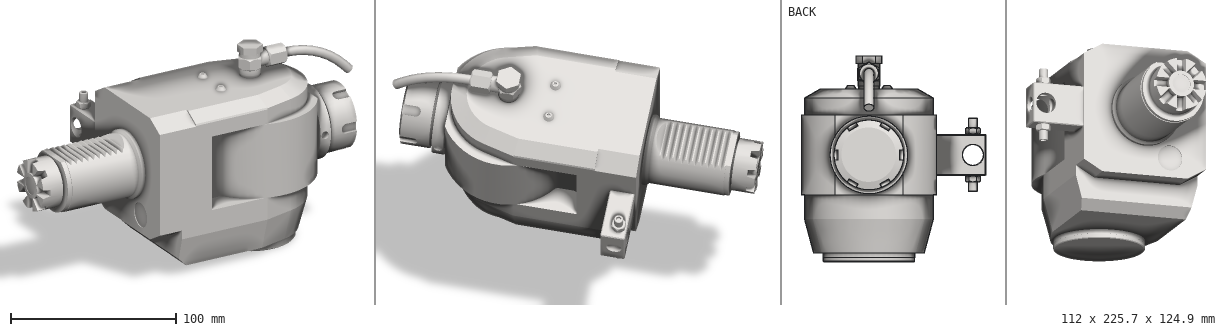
import cadquery as cq
import math


half_width = 39.0
half_height = 40.0
front_length = 25.5
front_chamfer_width = 11.7
back_chamfer_width = 9.6
chamfer_angle = 30.0
edge_relief = 0.8
chamfer_slope = math.tan(math.radians(chamfer_angle))
back_side_z = half_height - back_chamfer_width * chamfer_slope
head_y = 86.0
head_radius = 35.0
flank_angle = 15.0
flank = math.radians(flank_angle)
flank_end_x = head_radius * math.cos(flank)
flank_end_y = head_y + head_radius * math.sin(flank)
flank_start_y = flank_end_y - (half_width - flank_end_x) / math.tan(flank)
skirt_top = -39.0
housing_bottom = -59.5
skirt_front_y = 15.6
skirt_front_chamfer = 6.1
plug_recess_radius = 7.8
plug_recess_depth = 0.5
plug_x = 16.0
plug_z = -28.0

drum_radius = 41.0
drum_half_height = 24.25
drum_back_y = 121.4
pocket_floor_x = 23.25
pocket_front_y = 36.7
pocket_front_radius = 5.5
pocket_back_radius = 3.0

cover_radius = 27.9
cover_lower_radius = 27.8
cover_step_z = -62.2
cover_bottom = -64.9
cover_edge = 0.5

collar_radius = 23.5
collar_start_y = 122.0
collar_end_y = 129.2
collar_hole_radius = 2.5
collar_hole_y = 125.1
collar_hole_depth = 4.0
spindle_neck_radius = 19.5
nut_start_y = 131.1
nut_radius = 21.1
nut_end_y = 150.4
nut_chamfer_length = 1.5
nut_face_radius = 16.5
nut_slot_count = 6
nut_slot_width = 6.2
nut_slot_length = 12.2
nut_slot_depth = 2.5

shank_radius = 20.0
flange_radius = 21.6
flange_length = 2.4
flange_cone_end_y = -4.1
shank_step_y = -50.1
shank_tip_radius = 19.6
shank_end_y = -53.1
teeth_tip_z = 16.2
tooth_depth = 1.9
valley_half_width = 1.6
tooth_pitch = 4.0
valley_count = 10
ramp_end_y = -9.3
first_valley_y = -11.5

rear_neck_radius = 13.0
rear_nut_start_y = -54.3
rear_nut_radius = 16.0
rear_nut_end_y = -68.15
rear_slot_count = 8
rear_slot_depth = 4.9
rear_slot_mouth = 5.8
rear_slot_floor = 4.0
rear_core_radius = 8.0
rear_recess_radius = 5.7
rear_recess_depth = 0.4

bracket_left_x = -71.0
bracket_front_y = 1.0
bracket_back_y = 16.0
bracket_half_height = 12.5
bracket_edge = 0.6
bracket_hole_radius = 6.3
bracket_bolt_x = -63.0
bracket_hole_y = 7.5
side_hole_radius = 4.7
side_hole_depth = 19.0
side_drill_radius = 2.0
side_drill_depth = 26.0
bolt_y = 6.1
bolt_radius = 2.7
bolt_bore_radius = 2.5
bolt_bore_end_z = 9.0
bolt_end_z = 22.3
bolt_edge = 0.3
bolt_nut_flats = 8.0
bolt_nut_height = 4.0
bolt_socket_flats = 3.0
bolt_socket_depth = 2.0

fitting_base_radius = 6.3
fitting_base_top = 41.7
fitting_body_radius = 6.6
fitting_hex_bottom = 44.8
fitting_hex_top = 52.7
fitting_neck_top = 55.3
fitting_top = 60.0
fitting_flats = 13.6
branch_z = 49.4
branch_radius = 4.9
branch_nut_start_y = 96.6
branch_nut_end_y = 109.2
branch_nut_flats = 12.0
tube_radius = 3.0
tube_bend_y = 110.8
tube_bend_radius = 57.5
tube_bend_angle = 45.0
tube_end_length = 5.57

screw_x = 11.0
screw_y = 59.2
screw_base_radius = 3.3
screw_top_radius = 1.9
screw_height = 2.1
screw_socket_flats = 2.0
screw_socket_depth = 1.2

hex_corner_chamfer = 1.3
drill_tip_angle = 30.0
overlap = 1.0


def along_y(start_y, end_y, radius, x=0.0, z=0.0):
    """Cylinder parallel to Y."""
    direction = cq.Vector(0, math.copysign(1, end_y - start_y), 0)
    start = cq.Vector(x, start_y, z)
    return cq.Workplane(cq.Solid.makeCylinder(radius, abs(end_y - start_y), start, direction))


def along_z(start_z, end_z, radius, x, y):
    """Cylinder parallel to Z."""
    return cq.Workplane("XY", origin=(x, y, start_z)).circle(radius).extrude(end_z - start_z)


def revolved_about_y(profile):
    """Solid of revolution about the main axis from (radius, y) points."""
    return cq.Workplane("XY").polyline(profile).close().revolve(360, (0, 0, 0), (0, 1, 0))


def drilled_hole(start, direction, radius, depth, tip_radius=0.0):
    """Cutter for a drilled hole with a conical end."""
    bottom = start + direction * depth
    cone_length = (radius - tip_radius) * math.tan(math.radians(drill_tip_angle))
    bore = cq.Workplane(cq.Solid.makeCylinder(radius, depth, start, direction))
    return bore.union(cq.Workplane(cq.Solid.makeCone(radius, tip_radius, cone_length, bottom, direction)))


def hexagon(flats):
    """Corner points of a hexagon with two corners on its first axis."""
    corner = flats / math.sqrt(3)
    angles = [math.tau / 6 * i for i in range(6)]
    return [(corner * math.cos(a), corner * math.sin(a)) for a in angles]


def hex_prism(plane, flats, height, turn=0.0):
    """Hexagonal prism grown along the plane's normal."""
    return plane.transformed(rotate=(0, 0, turn)).polyline(hexagon(flats)).close().extrude(height)


def rounded_hex(plane, flats, height, turn=0.0):
    """Hexagonal prism whose corners are turned down at both ends."""
    corner = flats / math.sqrt(3)
    turned = plane.circle(corner).extrude(height).edges().chamfer(hex_corner_chamfer * (corner - flats / 2))
    return hex_prism(plane, flats, height, turn).intersect(turned)


def housing_outline(z):
    """Plan of the housing: straight sides, tapering flanks and a round back."""
    return (
        cq.Workplane("XY", origin=(0, 0, z))
        .moveTo(half_width, 0)
        .lineTo(half_width, flank_start_y)
        .lineTo(flank_end_x, flank_end_y)
        .threePointArc((0, head_y + head_radius), (-flank_end_x, flank_end_y))
        .lineTo(-half_width, flank_start_y)
        .lineTo(-half_width, 0)
        .close()
    )


def box_between(low, high):
    """Box spanning two opposite corners."""
    size = [b - a for a, b in zip(low, high)]
    return cq.Workplane("XY").box(*size, centered=False).translate(low)


def front_block():
    """Octagonal block behind the mounting face."""
    drop = front_chamfer_width * chamfer_slope
    flat_x = half_width - front_chamfer_width
    side_z = half_height - drop
    quarter = [(flat_x, half_height), (half_width, side_z)]
    right = quarter + [(x, -z) for x, z in reversed(quarter)]
    left = [(-x, z) for x, z in reversed(right)]
    return cq.Workplane("XZ").polyline(right + left).close().extrude(-front_length)


def upper_body():
    """Rear body with its roof edge chamfered all round and a small relief on the straight edges."""
    body = housing_outline(skirt_top).extrude(back_side_z - skirt_top)
    body = body.union(housing_outline(back_side_z).extrude(half_height - back_side_z, taper=90 - chamfer_angle))
    rear_low = (-half_width, front_length, skirt_top)
    body = body.intersect(box_between(rear_low, (half_width, drum_back_y, half_height)))
    lower_front = (-half_width, skirt_front_y, skirt_top)
    return body.union(box_between(lower_front, (half_width, front_length, 0)))


def edge_reliefs():
    """Steep bevels along the straight roof edges."""
    inner_x = half_width - edge_relief
    outer_x = half_width + overlap
    low_z = back_side_z - edge_relief
    high_z = back_side_z + overlap
    profile = [(inner_x, high_z), (outer_x, high_z), (outer_x, low_z), (half_width, low_z)]
    right = (
        cq.Workplane("XZ", origin=(0, front_length, 0))
        .polyline(profile)
        .close()
        .extrude(front_length - flank_start_y)
    )
    return right.union(right.mirror("YZ"))


def skirt():
    """Tapered lower body, set back from the mounting face and bevelled at its lower front edge."""
    depth = skirt_top - housing_bottom
    tapered = housing_outline(skirt_top).extrude(-depth, taper=flank_angle)
    side = [
        (skirt_front_y, skirt_top),
        (skirt_front_y, housing_bottom + skirt_front_chamfer),
        (skirt_front_y + skirt_front_chamfer, housing_bottom),
        (drum_back_y, housing_bottom),
        (drum_back_y, skirt_top),
    ]
    return tapered.intersect(cq.Workplane("YZ").polyline(side).close().extrude(half_width, both=True))


def side_pocket():
    """Right-hand pocket that runs into the round of the drum."""
    back_x = pocket_floor_x + pocket_back_radius
    reach = drum_radius + pocket_back_radius
    back_y = head_y - math.sqrt(reach**2 - back_x**2)
    share = drum_radius / reach
    touch = (back_x * share, head_y + (back_y - head_y) * share)
    touch_angle = math.atan2(head_y - back_y, back_x)
    front_x = pocket_floor_x + pocket_front_radius
    front_y = pocket_front_y + pocket_front_radius
    outside_x = drum_radius + overlap
    diagonal = math.sqrt(0.5)
    mid_fillet = math.pi - touch_angle / 2
    return (
        cq.Workplane("XY", origin=(0, 0, -drum_half_height))
        .moveTo(outside_x, pocket_front_y)
        .lineTo(front_x, pocket_front_y)
        .threePointArc(
            (front_x - pocket_front_radius * diagonal, front_y - pocket_front_radius * diagonal),
            (pocket_floor_x, front_y),
        )
        .lineTo(pocket_floor_x, back_y)
        .threePointArc(
            (
                back_x + pocket_back_radius * math.cos(mid_fillet),
                back_y + pocket_back_radius * math.sin(mid_fillet),
            ),
            touch,
        )
        .lineTo(touch[0], head_y)
        .lineTo(outside_x, head_y)
        .close()
        .extrude(2 * drum_half_height)
    )


def housing():
    """Complete housing with drum, pockets and bottom cover."""
    body = front_block().union(upper_body().cut(edge_reliefs())).union(skirt())
    pocket = side_pocket()
    body = body.cut(pocket).cut(pocket.mirror("YZ"))
    drum = along_z(-drum_half_height, drum_half_height, drum_radius, 0, head_y)
    drum_low = (-drum_radius, 0, -drum_half_height)
    drum = drum.intersect(box_between(drum_low, (drum_radius, drum_back_y, drum_half_height)))
    body = body.union(drum)
    body = body.union(along_z(housing_bottom + overlap, cover_step_z, cover_radius, 0, head_y))
    lower_cover = along_z(cover_step_z + overlap, cover_bottom, cover_lower_radius, 0, head_y)
    body = body.union(lower_cover.faces("<Z").edges().chamfer(cover_edge))
    return body.cut(along_y(0, plug_recess_depth, plug_recess_radius, plug_x, plug_z))


def spindle():
    """Spindle collar and slotted collet nut."""
    body = revolved_about_y([
        (0, drum_back_y - overlap),
        (spindle_neck_radius, drum_back_y - overlap),
        (spindle_neck_radius, collar_start_y),
        (collar_radius, collar_start_y),
        (collar_radius, collar_end_y),
        (spindle_neck_radius, collar_end_y),
        (spindle_neck_radius, nut_start_y),
        (nut_radius, nut_start_y),
        (nut_radius, nut_end_y - nut_chamfer_length),
        (nut_face_radius, nut_end_y),
        (0, nut_end_y),
    ])
    slot_end_y = nut_end_y - nut_slot_length + nut_slot_width / 2
    slot_floor = nut_radius - nut_slot_depth
    slot = (
        cq.Workplane("YZ", origin=(slot_floor, 0, 0))
        .moveTo(slot_end_y, 0)
        .circle(nut_slot_width / 2)
        .extrude(nut_slot_depth + overlap)
    )
    slot = slot.union(box_between(
        (slot_floor, slot_end_y, -nut_slot_width / 2),
        (nut_radius + overlap, nut_end_y + overlap, nut_slot_width / 2),
    ))
    for i in range(nut_slot_count):
        body = body.cut(slot.rotate((0, 0, 0), (0, 1, 0), 360 / nut_slot_count * i))
    for side in (1, -1):
        start = cq.Vector(side * collar_radius, collar_hole_y, 0)
        body = body.cut(drilled_hole(start, cq.Vector(-side, 0, 0), collar_hole_radius, collar_hole_depth))
    return body


def serration():
    """Cutter for the toothed flat on top of the shank."""
    valley_z = teeth_tip_z - tooth_depth
    above = shank_radius + overlap
    points = [(ramp_end_y + above - teeth_tip_z, above), (ramp_end_y, teeth_tip_z)]
    for i in range(valley_count):
        valley_y = first_valley_y - i * tooth_pitch
        points.append((valley_y + valley_half_width, teeth_tip_z))
        points.append((valley_y, valley_z))
        points.append((valley_y - valley_half_width, teeth_tip_z))
    points += [(shank_end_y, teeth_tip_z), (shank_end_y, above)]
    return cq.Workplane("YZ").polyline(points).close().extrude(shank_radius, both=True)


def shank():
    """Toothed cylindrical shank."""
    body = revolved_about_y([
        (0, overlap),
        (flange_radius, overlap),
        (flange_radius, -flange_length),
        (shank_radius, flange_cone_end_y),
        (shank_radius, shank_step_y),
        (shank_tip_radius, shank_step_y),
        (shank_tip_radius, shank_end_y),
        (0, shank_end_y),
    ])
    return body.cut(serration())


def rear_nut():
    """Castellated nut around a round core at the end of the shank."""
    body = along_y(shank_end_y + overlap, rear_nut_start_y - overlap, rear_neck_radius)
    nut = along_y(rear_nut_start_y, rear_nut_end_y, rear_nut_radius)
    floor_y = rear_nut_end_y + rear_slot_depth
    slot = (
        cq.Workplane("XY", origin=(0, 0, rear_core_radius - overlap))
        .polyline([
            (-rear_slot_mouth / 2, rear_nut_end_y),
            (rear_slot_mouth / 2, rear_nut_end_y),
            (rear_slot_floor / 2, floor_y),
            (-rear_slot_floor / 2, floor_y),
        ])
        .close()
        .extrude(rear_nut_radius)
    )
    for i in range(rear_slot_count):
        nut = nut.cut(slot.rotate((0, 0, 0), (0, 1, 0), 360 / rear_slot_count * i))
    core = along_y(rear_nut_start_y, rear_nut_end_y, rear_core_radius)
    recess = along_y(rear_nut_end_y, rear_nut_end_y + rear_recess_depth, rear_recess_radius)
    return body.union(nut).union(core).cut(recess)


def bracket():
    """Side bracket with a cross-drilled hole and two clamping bolts."""
    body = box_between(
        (bracket_left_x, bracket_front_y, -bracket_half_height),
        (-half_width, bracket_back_y, bracket_half_height),
    )
    body = body.faces("<X or <Y or >Y").edges("not >X").chamfer(bracket_edge)
    body = body.union(box_between(
        (-half_width - overlap, bracket_front_y + bracket_edge, -bracket_half_height + bracket_edge),
        (-half_width + overlap, bracket_back_y - bracket_edge, bracket_half_height - bracket_edge),
    ))
    body = body.cut(along_y(bracket_front_y, bracket_back_y, bracket_hole_radius, bracket_bolt_x))
    start = cq.Vector(bracket_left_x, bracket_hole_y, 0)
    body = body.cut(drilled_hole(start, cq.Vector(1, 0, 0), side_hole_radius, side_hole_depth, side_drill_radius))
    body = body.cut(along_z(-bolt_bore_end_z, bolt_bore_end_z, bolt_bore_radius, bracket_bolt_x, bolt_y))
    entry = cq.Workplane("YZ", origin=start.toTuple())
    body = body.cut(entry.circle(side_drill_radius).extrude(side_drill_depth))
    bolt = upper_bolt()
    return body.union(bolt).union(bolt.mirror("XY"))


def upper_bolt():
    """Socket set screw with its hexagon lock nut above the bracket."""
    top = bracket_half_height
    screw = along_z(top - overlap, bolt_end_z, bolt_radius, bracket_bolt_x, bolt_y)
    screw = screw.faces(">Z").edges().chamfer(bolt_edge)
    seat = cq.Workplane("XY", origin=(bracket_bolt_x, bolt_y, top))
    end = cq.Workplane("XY", origin=(bracket_bolt_x, bolt_y, bolt_end_z))
    screw = screw.union(rounded_hex(seat, bolt_nut_flats, bolt_nut_height))
    return screw.cut(hex_prism(end, bolt_socket_flats, -bolt_socket_depth))


def coolant_fitting():
    """Banjo fitting standing on the roof."""
    body = along_z(half_height - overlap, fitting_base_top, fitting_base_radius, 0, head_y)
    body = body.union(along_z(fitting_base_top, fitting_neck_top, fitting_body_radius, 0, head_y))
    middle = cq.Workplane("XY", origin=(0, head_y, fitting_hex_bottom))
    body = body.union(rounded_hex(middle, fitting_flats, fitting_hex_top - fitting_hex_bottom, 90))
    head = cq.Workplane("XY", origin=(0, head_y, fitting_neck_top))
    body = body.union(hex_prism(head, fitting_flats, fitting_top - fitting_neck_top))
    body = body.union(along_y(head_y, branch_nut_start_y + overlap, branch_radius, 0, branch_z))
    nut_face = cq.Workplane("XZ", origin=(0, branch_nut_end_y, branch_z))
    return body.union(rounded_hex(nut_face, branch_nut_flats, branch_nut_end_y - branch_nut_start_y, 90))


def coolant_tube():
    """Tube that leaves the fitting level and bends down past the spindle."""
    bend = math.radians(tube_bend_angle)
    centre_z = branch_z - tube_bend_radius

    def on_bend(angle):
        y = tube_bend_y + tube_bend_radius * math.sin(angle)
        return (y, centre_z + tube_bend_radius * math.cos(angle))

    end_y, end_z = on_bend(bend)
    path = (
        cq.Workplane("YZ")
        .moveTo(branch_nut_end_y - overlap, branch_z)
        .lineTo(tube_bend_y, branch_z)
        .threePointArc(on_bend(bend / 2), (end_y, end_z))
        .lineTo(end_y + tube_end_length * math.cos(bend), end_z - tube_end_length * math.sin(bend))
    )
    start = cq.Workplane("XZ", origin=(0, branch_nut_end_y - overlap, branch_z))
    return start.circle(tube_radius).sweep(path)


def top_screw(x):
    """Low conical screw head with a hexagon socket."""
    foot = cq.Vector(x, screw_y, half_height)
    cone = cq.Workplane(cq.Solid.makeCone(screw_base_radius, screw_top_radius, screw_height, foot))
    top = cq.Workplane("XY", origin=(x, screw_y, half_height + screw_height))
    return cone.cut(hex_prism(top, screw_socket_flats, -screw_socket_depth))


result = housing().union(spindle()).union(shank()).union(rear_nut()).union(bracket())
result = result.union(coolant_fitting()).union(coolant_tube())
for screw_side in (-1, 1):
    result = result.union(top_screw(screw_side * screw_x))